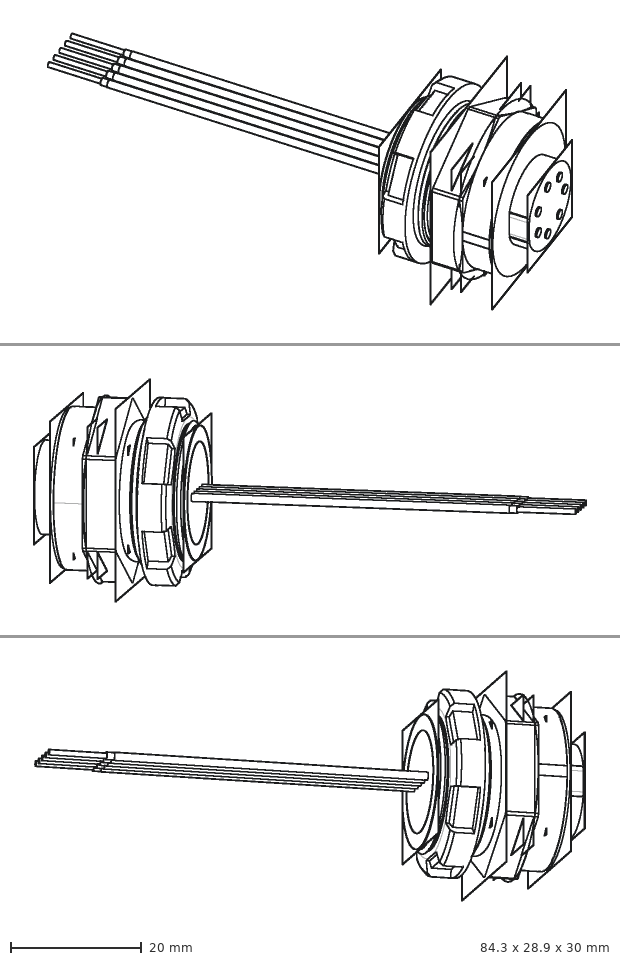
import cadquery as cq
import math

insulation_start = 9.1
wire_collar_end = 10.3
housing_rear = 59.9
nut_cone_start = 61.65
nut_start = 62.1
nut_end = 66.5
nut_cone_end = 67.2
ridge_end = 67.9
seal_start = 68.15
hex_start = 70.1
washer_start = 74.8
flange_start = 75.4
flange_step = 79.95
nose_start = 80.55
nose_end = 84.1
connector_tip = 84.3

wire_count = 5
wire_pitch = 1.9
wire_radius = 0.63
wire_collar_radius = 0.6
conductor_radius = 0.4

barrel_radius = 10.4
thread_radius = 11.05
thread_pitch = 1.0
thread_first = 60.5
thread_count = 8
potting_radius = 7.9
potting_depth = 0.2
ridge_radius = 11.5
seal_crest_radius = 10.9

nut_radius = 14.4
nut_chamfer = 0.6
nut_cone_radius = 11.6
notch_count = 6
notch_floor_radius = 12.65
notch_floor_start = 62.7
notch_step_start = 62.25
notch_bottom_width = 5.9
notch_mouth_width = 7.8
notch_rim = 0.7

hex_across_flats = 25.1
hex_edge_chamfer = 0.3
washer_radius = 14.465
washer_front_radius = 12.65
flange_radius = hex_across_flats / 2
flange_step_depth = 0.25
mark_width = 1.8
mark_depth = 0.1
nose_radius = 7.25
key_width = 4.8
key_radius = 7.1
key_flat_width = 3.3

contact_count = 7
contact_circle_radius = 4.7
contact_radius = 0.8

sheet_thickness = 0.1
sheets = [
    (housing_rear + sheet_thickness, 21.1, 21.1),
    (69.1, 16.6, 16.6),
    (hex_start, 26.15, 30.0),
    (73.1, 23.6, 23.6),
    (washer_start - sheet_thickness, 23.6, 23.6),
    (77.4, 18.7, 18.7),
    (nose_start - sheet_thickness, 25.1, 25.1),
    (nose_end - sheet_thickness, 15.2, 15.2),
]


def plane_at(x):
    """Sketch plane across the axis: local x is Y, local y is Z, extrusion runs along +X."""
    return cq.Workplane("YZ", origin=(x, 0, 0))


def disc(start, end, radius):
    return plane_at(start).circle(radius).extrude(end - start)


def cone(start, end, start_radius, end_radius):
    profile = [(start, 0), (start, start_radius), (end, end_radius), (end, 0)]
    return cq.Workplane("XY").polyline(profile).close().revolve(360, (0, 0, 0), (1, 0, 0))


def threaded_barrel():
    barrel = disc(housing_rear, hex_start, barrel_radius)
    for i in range(thread_count):
        start = thread_first + i * thread_pitch
        crest = start + thread_pitch / 2
        barrel = barrel.union(cone(start, crest, barrel_radius, thread_radius))
        barrel = barrel.union(cone(crest, start + thread_pitch, thread_radius, barrel_radius))
    potting_recess = disc(housing_rear, housing_rear + potting_depth, potting_radius)
    return barrel.cut(potting_recess)


def barrel_ridge():
    return disc(nut_cone_end, ridge_end, ridge_radius)


def seal_bead():
    return (
        cq.Workplane("XY")
        .moveTo(seal_start, 0)
        .lineTo(seal_start, barrel_radius)
        .threePointArc(((seal_start + hex_start) / 2, seal_crest_radius), (hex_start, barrel_radius))
        .lineTo(hex_start, 0)
        .close()
        .revolve(360, (0, 0, 0), (1, 0, 0))
    )


def nut_notch():
    """Notch at the top of the nut: its floor drops steeply at the rear and ends at the front rim."""
    rim_start = nut_end - notch_rim
    outline = [
        (-notch_bottom_width / 2, nut_cone_radius),
        (notch_bottom_width / 2, nut_cone_radius),
        (notch_mouth_width / 2, nut_radius),
        (-notch_mouth_width / 2, nut_radius),
    ]
    across = plane_at(nut_cone_start).polyline(outline).close().extrude(rim_start - nut_cone_start)
    side_profile = [
        (nut_cone_start, nut_cone_radius),
        (notch_step_start, nut_cone_radius),
        (notch_floor_start, notch_floor_radius),
        (rim_start, notch_floor_radius),
        (rim_start, nut_radius),
        (nut_cone_start, nut_radius),
    ]
    along = cq.Workplane("XZ").polyline(side_profile).close().extrude(notch_mouth_width / 2, both=True)
    return across.intersect(along)


def slotted_nut():
    nut = disc(nut_start, nut_end, nut_radius).faces("<X").chamfer(nut_chamfer)
    rear_cone = cone(nut_cone_start, nut_start, nut_cone_radius, nut_radius - nut_chamfer)
    front_cone = cone(nut_end, nut_cone_end, nut_cone_radius, barrel_radius)
    nut = nut.union(rear_cone).union(front_cone)
    notch = nut_notch()
    for i in range(notch_count):
        nut = nut.cut(notch.rotate((0, 0, 0), (1, 0, 0), i * 360 / notch_count))
    return nut


def hexagon():
    """Hexagon with corners at top and bottom, with a conical washer at its front end."""
    across_corners = hex_across_flats / math.cos(math.pi / 6)
    body = plane_at(hex_start).polygon(6, across_corners).extrude(flange_start - hex_start)
    body = body.edges("|X").chamfer(hex_edge_chamfer)
    body = body.rotate((0, 0, 0), (1, 0, 0), 30)
    return body.union(cone(washer_start, flange_start, washer_radius, washer_front_radius))


def flange():
    """Flange with a reduced front edge and a shallow marking groove on the -Y side."""
    body = disc(flange_start, flange_step, flange_radius)
    body = body.union(disc(flange_step, nose_start, flange_radius - flange_step_depth))
    mark = cq.Workplane("XY").box(nose_start - flange_start, 2 * mark_depth, mark_width)
    return body.cut(mark.translate(((flange_start + nose_start) / 2, -flange_radius, 0)))


def nose():
    """Nose with a shallow keyway and a narrower flat inside it on the -Y side."""
    length = nose_end - nose_start
    body = disc(nose_start, nose_end, nose_radius)
    key_sector = plane_at(nose_start).center(-nose_radius, 0).rect(nose_radius, key_width).extrude(length)
    body = body.cut(key_sector.cut(disc(nose_start, nose_end, key_radius)))
    flat_distance = math.sqrt(key_radius**2 - (key_flat_width / 2) ** 2)
    flat_cut = (
        plane_at(nose_start)
        .center(-flat_distance - nose_radius / 2, 0)
        .rect(nose_radius, key_flat_width)
        .extrude(length)
    )
    return body.cut(flat_cut)


def contacts():
    return (
        plane_at(nose_end)
        .polarArray(contact_circle_radius, 0, 360, contact_count)
        .circle(contact_radius)
        .extrude(connector_tip - nose_end)
    )


def sheet(start, width, height):
    return plane_at(start).rect(width, height).extrude(sheet_thickness)


def make_housing():
    body = threaded_barrel()
    for feature in (slotted_nut(), barrel_ridge(), seal_bead(), hexagon(), flange(), nose(), contacts()):
        body = body.union(feature)
    for start, width, height in sheets:
        body = body.union(sheet(start, width, height))
    return body


def make_wire(y):
    """Insulated wire with a bare conductor tip, ending on the potting."""
    wire = disc(0, insulation_start, conductor_radius)
    wire = wire.union(disc(insulation_start, wire_collar_end, wire_collar_radius))
    wire = wire.union(disc(wire_collar_end, housing_rear + potting_depth, wire_radius))
    return wire.translate((0, y, 0))


housing = make_housing()
wires = [make_wire((i - (wire_count - 1) / 2) * wire_pitch) for i in range(wire_count)]

result = cq.Compound.makeCompound([housing.val(), *[wire.val() for wire in wires]])